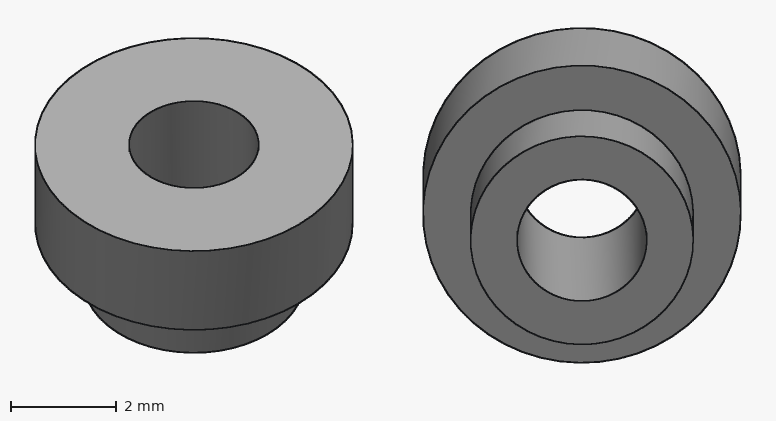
import cadquery as cq

flange_diameter = 6.0
shank_diameter = 4.2
bore_diameter = 2.45
total_height = 3.4
shank_height = 1.4
flange_height = total_height - shank_height

shank = cq.Workplane("XY").circle(shank_diameter / 2).extrude(shank_height)
stepped_body = shank.faces(">Z").workplane().circle(flange_diameter / 2).extrude(flange_height)

result = stepped_body.faces(">Z").workplane().hole(bore_diameter)